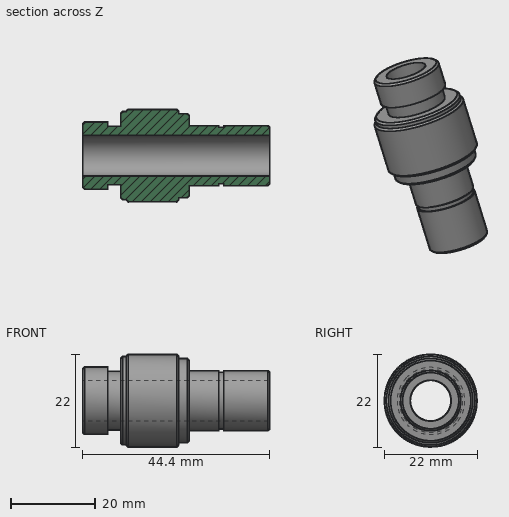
import cadquery as cq

head_diameter = 16.0
neck_diameter = 14.0
collar_diameter = 21.0
body_diameter = 22.0
flange_diameter = 20.0
shaft_diameter = 14.3
groove_diameter = 13.5
bore_diameter = 9.6

head_length = 6.0
neck_length = 3.0
collar_length = 1.3
body_length = 12.5
flange_length = 2.5
shaft_length = 19.1

groove_offset = 7.0
groove_width = 1.1

edge_chamfer = 0.5

neck_start = head_length
collar_start = neck_start + neck_length
body_start = collar_start + collar_length
flange_start = body_start + body_length
shaft_start = flange_start + flange_length
groove_start = shaft_start + groove_offset
total_length = shaft_start + shaft_length


def cylinder(start, length, diameter):
    """Solid cylinder on the X axis."""
    return cq.Workplane("YZ", origin=(start, 0, 0)).circle(diameter / 2).extrude(length)


def turned_body():
    """Stepped outside shape, with chamfers on the exposed rims."""
    head = cylinder(0, head_length, head_diameter).faces("<X").chamfer(edge_chamfer)
    neck = cylinder(neck_start, neck_length, neck_diameter)
    collar = cylinder(collar_start, collar_length, collar_diameter).faces("<X").chamfer(edge_chamfer)
    body = cylinder(body_start, body_length, body_diameter).edges("%CIRCLE").chamfer(edge_chamfer)
    flange = cylinder(flange_start, flange_length, flange_diameter).faces(">X").chamfer(edge_chamfer)
    shaft = cylinder(shaft_start, shaft_length, shaft_diameter).faces(">X").chamfer(edge_chamfer)
    return head.union(neck).union(collar).union(body).union(flange).union(shaft)


def retaining_groove():
    """Ring of material removed around the shaft."""
    outer = cylinder(groove_start, groove_width, shaft_diameter)
    inner = cylinder(groove_start, groove_width, groove_diameter)
    return outer.cut(inner)


def through_bore():
    """Straight bore along the whole part."""
    return cylinder(0, total_length, bore_diameter)


result = turned_body().cut(retaining_groove()).cut(through_bore())